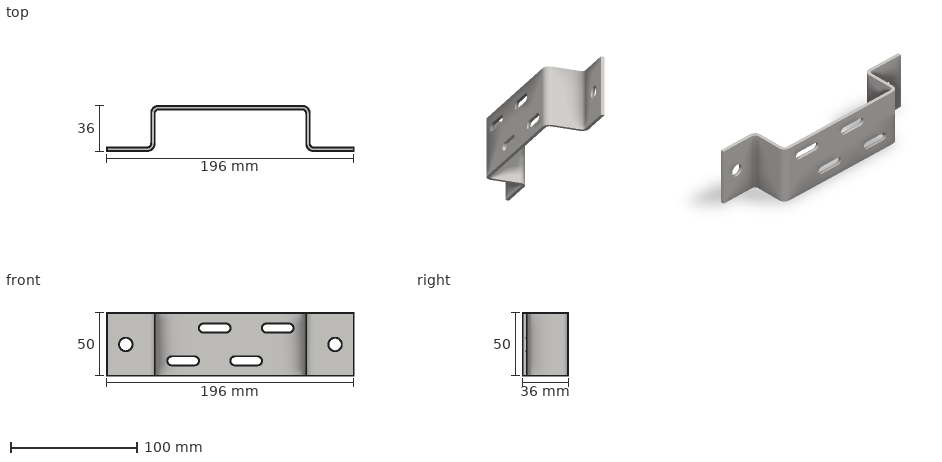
import cadquery as cq

thickness = 3.0
inner_radius = 3.0
outer_radius = inner_radius + thickness

length = 196.0
depth = 36.0
height = 50.0
hat_width = 126.0

hole_diameter = 10.5
hole_edge_distance = 15.0

slot_length = 25.0
slot_width = 7.0
slot_row_offset = 13.0
slot_pitch = 50.0
slot_stagger = slot_pitch / 4


def hat_bracket():
    """Bent strip with the flange fronts on Y = 0 and the web at the back, centred in X and Z."""
    half_length = length / 2
    wall_outside = hat_width / 2
    wall_inside = wall_outside - thickness
    web_front = depth - thickness
    right_half = (
        cq.Workplane("XY")
        .moveTo(0, depth)
        .lineTo(wall_outside - outer_radius, depth)
        .radiusArc((wall_outside, depth - outer_radius), outer_radius)
        .lineTo(wall_outside, outer_radius)
        .radiusArc((wall_outside + inner_radius, thickness), -inner_radius)
        .lineTo(half_length, thickness)
        .lineTo(half_length, 0)
        .lineTo(wall_inside + outer_radius, 0)
        .radiusArc((wall_inside, outer_radius), outer_radius)
        .lineTo(wall_inside, web_front - inner_radius)
        .radiusArc((wall_inside - inner_radius, web_front), -inner_radius)
        .lineTo(0, web_front)
        .close()
        .extrude(height / 2, both=True)
    )
    return right_half.union(right_half.mirror("YZ")).clean()


def flange_holes():
    hole_x = length / 2 - hole_edge_distance
    return (
        cq.Workplane("XZ")
        .pushPoints([(-hole_x, 0), (hole_x, 0)])
        .circle(hole_diameter / 2)
        .extrude(-depth)
    )


def web_slots():
    centres = []
    for row in (-1, 1):
        for column in (-1, 1):
            slot_x = column * slot_pitch / 2 + row * slot_stagger
            centres.append((slot_x, row * slot_row_offset))
    return cq.Workplane("XZ").pushPoints(centres).slot2D(slot_length, slot_width).extrude(-depth)


result = hat_bracket().cut(flange_holes()).cut(web_slots())